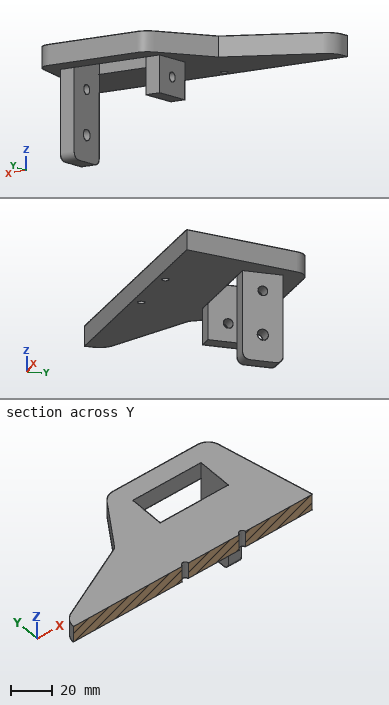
import cadquery as cq

length = 149.2
depth = 66.8
thickness = 10.3
left_corner = (0, 10.1)
waist_corner = (50.7, 35.2)
top_left_x = 71.3
top_right_x = 134.5
nose_radius = 9.0
top_radius = 8.0

window_left = 78.9
window_right = 121.1
window_front = 35.2
window_back = 55.8
window_width = window_right - window_left
window_depth = window_back - window_front
window_middle_y = (window_front + window_back) / 2

plate_hole_diameter = 3.6
plate_hole_xs = (69.4, 104.7)
plate_hole_y = 4.6

leg_thickness = 8.2
short_leg_height = 18.5
long_leg_height = 44.8
long_leg_radius = 3.6
upper_hole_diameter = 4.8
upper_hole_z = -9.1
lower_hole_diameter = 5.5
lower_hole_z = -31.3


def make_plate():
    plate = (
        cq.Workplane("XY")
        .polyline([(0, 0), (length, 0), (top_right_x, depth), (top_left_x, depth), waist_corner, left_corner])
        .close()
        .extrude(thickness)
    )
    plate = plate.edges("|Z").edges(">Y").fillet(top_radius)
    nose = cq.selectors.NearestToPointSelector((*left_corner, thickness / 2))
    return plate.edges("|Z").edges(nose).fillet(nose_radius)


def make_leg(left, height):
    return cq.Workplane("XY").box(leg_thickness, window_depth, height, centered=False).translate(
        (left, window_front, -height)
    )


def leg_hole(diameter, z):
    """Cylinder along X, long enough to cross both legs."""
    return (
        cq.Workplane("YZ")
        .center(window_middle_y, z)
        .circle(diameter / 2)
        .extrude(length)
    )


window = (
    cq.Workplane("XY")
    .box(window_width, window_depth, thickness, centered=False)
    .translate((window_left, window_front, 0))
)
plate_holes = (
    cq.Workplane("XY")
    .pushPoints([(x, plate_hole_y) for x in plate_hole_xs])
    .circle(plate_hole_diameter / 2)
    .extrude(thickness)
)
short_leg = make_leg(window_left - leg_thickness, short_leg_height)
long_leg = make_leg(window_right, long_leg_height).edges("|X and <Z").fillet(long_leg_radius)

result = make_plate().cut(window).cut(plate_holes).union(short_leg).union(long_leg)
result = result.cut(leg_hole(upper_hole_diameter, upper_hole_z))
result = result.cut(leg_hole(lower_hole_diameter, lower_hole_z))